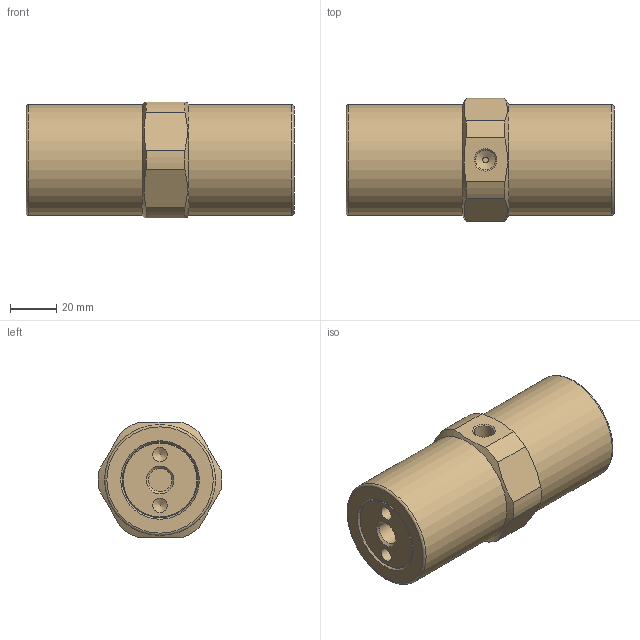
import cadquery as cq
import math

body_length = 116.0
body_diameter = 48.0
end_rounding = 1.0
end_face_x = -body_length / 2

across_flats = 50.0
corner_diameter = 53.5
collar_width = 20.0
collar_center_x = 2.4
collar_chamfer_angle = 30.0

opening_diameter = 34.0
seam_diameter = 32.6
insert_face_diameter = 31.9
insert_recess = 0.5
insert_chamfer = (seam_diameter - insert_face_diameter) / 2
insert_face_x = end_face_x + insert_recess

bore_diameter = 10.11
bore_mouth_diameter = 12.0
bore_depth = 12.0

pin_hole_diameter = 6.2
pin_hole_offset = 11.0
pin_hole_depth = 5.0

port_diameter = 8.57
port_mouth_diameter = 9.7
port_depth = 8.0
bleed_diameter = 2.5
bleed_depth = 14.0

drill_point_angle = 118.0


def revolve_about_x(points):
    """Solid of revolution about X from an outline of (x, radius) points."""
    outline = cq.Workplane("XY").polyline(points).close()
    return outline.revolve(360, (0, 0, 0), (1, 0, 0))


def drill_point_height(start_diameter, end_diameter=0.0):
    """Length over which a drill point narrows between two diameters."""
    return (start_diameter - end_diameter) / 2 / math.tan(math.radians(drill_point_angle / 2))


def make_body():
    bar = cq.Workplane("YZ", origin=(end_face_x, 0, 0)).circle(body_diameter / 2).extrude(body_length)
    return bar.faces("<X or >X").edges().fillet(end_rounding)


def make_collar():
    left = collar_center_x - collar_width / 2
    right = collar_center_x + collar_width / 2
    corner_radius = corner_diameter / 2
    face_radius = body_diameter / 2
    chamfer_length = (corner_radius - face_radius) * math.tan(math.radians(collar_chamfer_angle))

    hexagon_diameter = across_flats / math.cos(math.pi / 6)
    hexagon = cq.Workplane("YZ", origin=(left, 0, 0)).polygon(6, hexagon_diameter).extrude(collar_width)
    turned_blank = revolve_about_x([
        (left, 0),
        (left, face_radius),
        (left + chamfer_length, corner_radius),
        (right - chamfer_length, corner_radius),
        (right, face_radius),
        (right, 0),
    ])
    return hexagon.intersect(turned_blank)


def make_insert_recess():
    return revolve_about_x([
        (end_face_x, 0),
        (end_face_x, opening_diameter / 2),
        (insert_face_x + insert_chamfer, seam_diameter / 2),
        (insert_face_x, insert_face_diameter / 2),
        (insert_face_x, 0),
    ])


def make_bore():
    bore_radius = bore_diameter / 2
    mouth_radius = bore_mouth_diameter / 2
    return revolve_about_x([
        (insert_face_x, 0),
        (insert_face_x, mouth_radius),
        (insert_face_x + mouth_radius - bore_radius, bore_radius),
        (insert_face_x + bore_depth, bore_radius),
        (insert_face_x + bore_depth, 0),
    ])


def make_pin_hole(z):
    radius = pin_hole_diameter / 2
    bottom_x = insert_face_x + pin_hole_depth
    hole = revolve_about_x([
        (insert_face_x, 0),
        (insert_face_x, radius),
        (bottom_x, radius),
        (bottom_x + drill_point_height(pin_hole_diameter), 0),
    ])
    return hole.translate((0, 0, z))


def make_port():
    top = across_flats / 2
    port_radius = port_diameter / 2
    mouth_radius = port_mouth_diameter / 2
    bleed_radius = bleed_diameter / 2
    port_bottom = top - port_depth
    outline = cq.Workplane("XZ").polyline([
        (0, top),
        (mouth_radius, top),
        (port_radius, top - (mouth_radius - port_radius)),
        (port_radius, port_bottom),
        (bleed_radius, port_bottom - drill_point_height(port_diameter, bleed_diameter)),
        (bleed_radius, top - bleed_depth),
        (0, top - bleed_depth),
    ]).close()
    return outline.revolve(360, (0, 0, 0), (0, 1, 0)).translate((collar_center_x, 0, 0))


result = make_body().union(make_collar())
result = result.cut(make_insert_recess())
result = result.cut(make_bore())
for side in (1, -1):
    result = result.cut(make_pin_hole(side * pin_hole_offset))
result = result.cut(make_port())